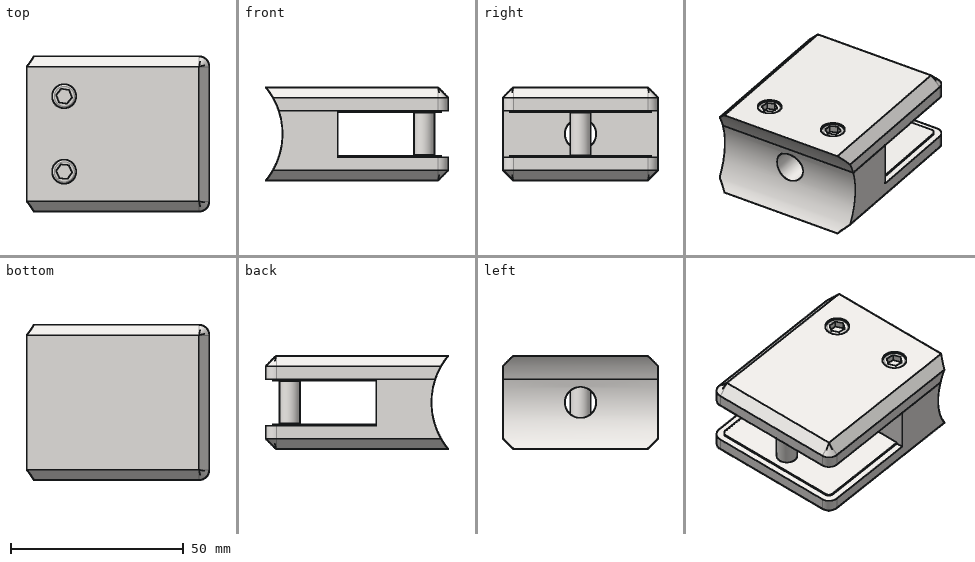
import cadquery as cq
import math

LENGTH = 52.85
WIDTH = 45.0
HEIGHT = 27.0
EDGE_CHAMFER = 3.0
CORNER_RADIUS = 3.0

SEAT_RADIUS = 21.2
SEAT_CENTER_X = -math.sqrt(SEAT_RADIUS**2 - (HEIGHT / 2) ** 2)

JAW_THICKNESS = 6.8
SLOT_START_X = 20.9
SLOT_HEIGHT = HEIGHT - 2 * JAW_THICKNESS

PAD_HEIGHT = 0.4
PAD_INSET = 2.0
PAD_CORNER_RADIUS = 1.5

SEAT_HOLE_DIAMETER = 9.0

PIN_DIAMETER = 6.0
PIN_CLEARANCE = 0.1
PIN_X = LENGTH - 7.0

SCREW_DIAMETER = 7.0
SCREW_X = 10.85
SCREW_SPACING = 21.85
SCREW_EDGE_RADIUS = 0.6
SCREW_RECESS = 0.2
SCREW_LENGTH = JAW_THICKNESS - SCREW_RECESS
HEX_ACROSS_FLATS = 4.0
HEX_ACROSS_CORNERS = HEX_ACROSS_FLATS / math.cos(math.radians(30))
HEX_DEPTH = 2.0
SCREW_PLACES = [(-SCREW_SPACING / 2, -5.5), (SCREW_SPACING / 2, -9.5)]

TOP_Z = HEIGHT / 2
SLOT_TOP_Z = SLOT_HEIGHT / 2


def cylinder(diameter, length):
    """Cylinder along +Z that starts at the origin."""
    return cq.Workplane("XY").circle(diameter / 2).extrude(length)


def make_envelope():
    """Outer shape of the closed clamp: chamfered block with the round tube seat cut out."""
    block = (
        cq.Workplane("XY")
        .box(LENGTH, WIDTH, HEIGHT, centered=(False, True, True))
        .edges("|Z and >X")
        .fillet(CORNER_RADIUS)
    )
    rim_edges = block.faces(">Z or <Z").edges("not <X")
    block = rim_edges.chamfer(EDGE_CHAMFER)
    seat = (
        cq.Workplane("XZ")
        .center(SEAT_CENTER_X, 0)
        .circle(SEAT_RADIUS)
        .extrude(WIDTH / 2, both=True)
    )
    return block.cut(seat)


def make_layer(bottom_z, top_z):
    """Slab that spans the whole clamp between two heights."""
    return (
        cq.Workplane("XY", origin=(0, 0, bottom_z))
        .rect(2 * LENGTH, WIDTH)
        .extrude(top_z - bottom_z)
    )


def make_pad(bottom_z):
    """Raised pad with rounded corners at the open end of the slot."""
    return (
        cq.Workplane("XY", origin=(SLOT_START_X, 0, bottom_z))
        .box(
            LENGTH - PAD_INSET - SLOT_START_X,
            WIDTH - 2 * PAD_INSET,
            PAD_HEIGHT,
            centered=(False, True, False),
        )
        .edges("|Z and >X")
        .fillet(PAD_CORNER_RADIUS)
    )


def make_base(envelope):
    """Lower jaw with its pad and the solid end that carries the seat hole."""
    base = envelope.intersect(make_layer(-TOP_Z, SLOT_TOP_Z))
    slot = cq.Workplane("XY", origin=(SLOT_START_X, 0, 0)).box(
        LENGTH, WIDTH, SLOT_HEIGHT, centered=(False, True, True)
    )
    seat_hole = cq.Workplane("YZ").circle(SEAT_HOLE_DIAMETER / 2).extrude(SLOT_START_X)
    return base.cut(slot).cut(seat_hole).union(make_pad(-SLOT_TOP_Z))


def make_cover(envelope):
    """Upper jaw with its pad and the screw holes."""
    cover = envelope.intersect(make_layer(SLOT_TOP_Z, TOP_Z))
    cover = cover.union(make_pad(SLOT_TOP_Z - PAD_HEIGHT))
    for screw_y, _ in SCREW_PLACES:
        hole = cylinder(SCREW_DIAMETER, JAW_THICKNESS)
        cover = cover.cut(hole.translate((SCREW_X, screw_y, SLOT_TOP_Z)))
    return cover


def make_screw(screw_y, socket_angle):
    """Screw sunk just below the cover's top, with a rounded top edge and a hex socket."""
    screw = cylinder(SCREW_DIAMETER, SCREW_LENGTH).faces(">Z").edges().fillet(SCREW_EDGE_RADIUS)
    socket = (
        cq.Workplane("XY", origin=(0, 0, SCREW_LENGTH - HEX_DEPTH))
        .polygon(6, HEX_ACROSS_CORNERS)
        .extrude(HEX_DEPTH)
        .rotate((0, 0, 0), (0, 0, 1), socket_angle)
    )
    return screw.cut(socket).translate((SCREW_X, screw_y, SLOT_TOP_Z))


def make_pin():
    """Plain round pin that spans the slot between the pads."""
    length = SLOT_HEIGHT - 2 * (PAD_HEIGHT + PIN_CLEARANCE)
    return cylinder(PIN_DIAMETER, length).translate((PIN_X, 0, -length / 2))


envelope = make_envelope()
base = make_base(envelope)
cover = make_cover(envelope)
screws = [make_screw(screw_y, angle) for screw_y, angle in SCREW_PLACES]
pin = make_pin()

result = cq.Compound.makeCompound(
    [base.val(), cover.val(), *[screw.val() for screw in screws], pin.val()]
)